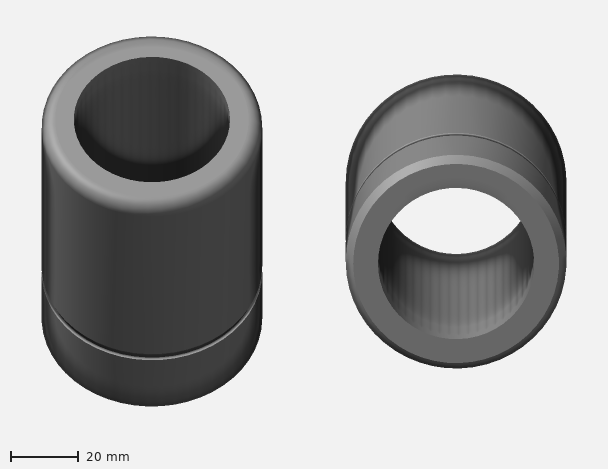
import cadquery as cq
import math

length = 100.0
outer_radius = 32.5
bore_radius = 23.0
top_fillet = 4.0
bottom_chamfer = 2.2

groove_bottom = 25.0
groove_height = 3.0
groove_arc_radius = 5.0

groove_arc_angle = math.asin(groove_height / groove_arc_radius)
groove_depth = groove_arc_radius * (1 - math.cos(groove_arc_angle))
groove_floor = outer_radius - groove_depth
arc_center = groove_floor + groove_arc_radius
arc_middle = (
    arc_center - groove_arc_radius * math.cos(groove_arc_angle / 2),
    groove_bottom + groove_arc_radius * math.sin(groove_arc_angle / 2),
)

fillet_center = (outer_radius - top_fillet, length - top_fillet)
fillet_reach = top_fillet * math.sin(math.pi / 4)
fillet_middle = (fillet_center[0] + fillet_reach, fillet_center[1] + fillet_reach)

section = (
    cq.Workplane("XZ")
    .moveTo(bore_radius, 0)
    .lineTo(outer_radius - bottom_chamfer, 0)
    .lineTo(outer_radius, bottom_chamfer)
    .lineTo(outer_radius, groove_bottom)
    .lineTo(groove_floor, groove_bottom)
    .threePointArc(arc_middle, (outer_radius, groove_bottom + groove_height))
    .lineTo(outer_radius, length - top_fillet)
    .threePointArc(fillet_middle, (outer_radius - top_fillet, length))
    .lineTo(bore_radius, length)
    .close()
)

result = section.revolve(360, (0, 0, 0), (0, 1, 0))